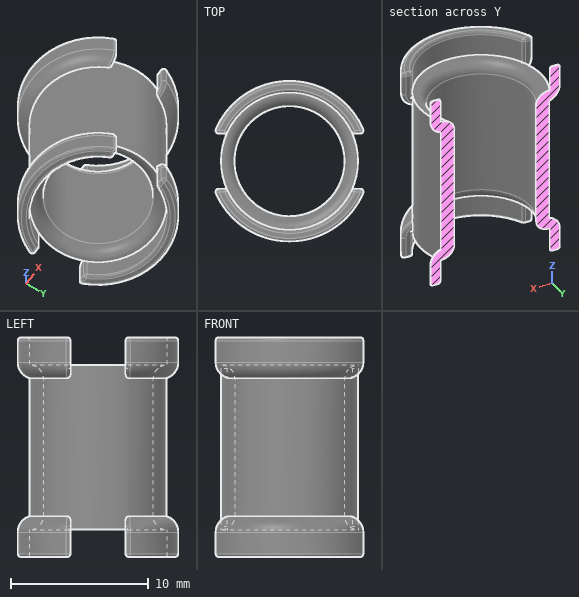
import cadquery as cq
import math

total_height = 16.0
tube_outer_radius = 10.0 / 2
bore_radius = 8.0 / 2
collar_outer_radius = 11.71 / 2

rim_depth = 2.0
collar_height = 3.04
shoulder_radius = 1.23

slot_width = 4.0
edge_radius = 0.24

match_tolerance = 0.002

mouth_radius = tube_outer_radius - bore_radius
half_height = total_height / 2
rim_z = half_height - rim_depth
collar_bottom_z = half_height - collar_height


def make_tube():
    """Tube whose wall curves from the bore out to a thin rim at each end."""
    mouth_z = rim_z - mouth_radius
    arc_offset = mouth_radius * math.sqrt(0.5)
    arc_r = tube_outer_radius - arc_offset
    arc_z = mouth_z + arc_offset
    return (
        cq.Workplane("XZ")
        .moveTo(bore_radius, -mouth_z)
        .lineTo(bore_radius, mouth_z)
        .threePointArc((arc_r, arc_z), (tube_outer_radius, rim_z))
        .lineTo(tube_outer_radius, -rim_z)
        .threePointArc((arc_r, -arc_z), (bore_radius, -mouth_z))
        .close()
        .revolve(360, (0, 0, 0), (0, 1, 0))
    )


def make_collar_arcs():
    """Two facing collar arcs at the upper end, rounded on their exposed edges."""
    foot_radius = collar_outer_radius - shoulder_radius
    foot_top_z = rim_z - edge_radius
    shoulder_z = collar_bottom_z + shoulder_radius
    arc_offset = shoulder_radius * math.sqrt(0.5)
    ring = (
        cq.Workplane("XZ")
        .moveTo(tube_outer_radius, half_height)
        .lineTo(collar_outer_radius, half_height)
        .lineTo(collar_outer_radius, shoulder_z)
        .threePointArc(
            (foot_radius + arc_offset, shoulder_z - arc_offset),
            (foot_radius, collar_bottom_z),
        )
        .lineTo(foot_radius, foot_top_z)
        .lineTo(tube_outer_radius, foot_top_z)
        .close()
        .revolve(360, (0, 0, 0), (0, 1, 0))
    )
    slot = cq.Workplane("XY").box(total_height, slot_width, total_height)
    arcs = ring.cut(slot)

    top_edges = arcs.faces(">Z").edges().vals()
    inner_edge_center_z = (half_height + foot_top_z) / 2
    outer_edge_center_z = (half_height + shoulder_z) / 2
    end_edges = [
        edge
        for edge in arcs.faces("|Y").edges().vals()
        if is_exposed_end_edge(edge, (inner_edge_center_z, outer_edge_center_z))
    ]
    return arcs.newObject(top_edges + end_edges).fillet(edge_radius)


def is_exposed_end_edge(edge, upright_center_heights):
    """Tell whether an edge of a slot wall is an upright or the shoulder curve."""
    if edge.geomType() != "LINE":
        return True
    center_z = edge.Center().z
    return any(abs(center_z - height) < match_tolerance for height in upright_center_heights)


upper_arcs = make_collar_arcs()
lower_arcs = upper_arcs.mirror("XY")
result = make_tube().union(upper_arcs).union(lower_arcs)